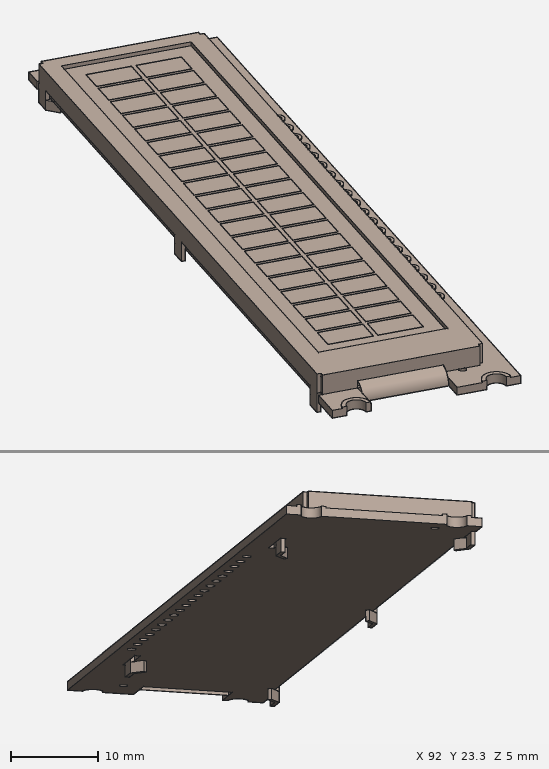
import cadquery as cq
import math

board_length = 92.0
board_width = 23.3
board_thickness = 1.0
board_bottom = 1.5
board_top = board_bottom + board_thickness
board_right = board_length / 2
board_front = -board_width / 2
board_back = board_width / 2

pad_height = 0.2
notch_radius = 1.2
notch_ring_radius = 1.75
notch_y = 8.65

pin_count = 20
pin_span = 48.3
pin_pitch = pin_span / (pin_count - 1)
pin_row_inset = 1.5
pin_row_y = board_back - pin_row_inset
pin_hole_radius = 0.51
pin_pad_radius = 0.87

locating_hole_radius = 0.5
locating_holes = [(-43.8, -6.6), (42.0, 6.1)]

sheet = 0.5
total_height = 5.0
bezel_left = -43.4
bezel_right = 41.9
bezel_front = board_front
bezel_width = 20.4
bezel_back = bezel_front + bezel_width
bezel_length = bezel_right - bezel_left
bezel_x = (bezel_left + bezel_right) / 2
bezel_y = (bezel_front + bezel_back) / 2
bezel_underside = total_height - sheet

window_length = 77.8
window_width = 16.0
window_x = -2.6

tab_width = 2.1
twist_reach = 1.3
tip_gap = 0.2
slot_length = 5.0
slot_end_clearance = 0.4
slot_side_clearance = 0.2
front_tabs = [(-40.85, 1), (-1.8, -1), (39.2, -1)]
back_tabs = [(-31.6, 1), (29.6, -1)]

cell_columns = 20
cell_rows = 2
cell_span = 70.1
cell_pitch_x = cell_span / (cell_columns - 1)
cell_pitch_y = 6.2
cell_length = 3.2
cell_width = 5.6
cell_height = 0.05

strip_front = -6.8
strip_back = 3.8
strip_width = strip_back - strip_front
strip_thickness = 0.1
strip_top = 3.4
strip_end = 43.5
strip_radius = strip_top - board_bottom


def box(x0, x1, y0, y1, z0, z1):
    """Box between two corners."""
    return cq.Workplane("XY").box(x1 - x0, y1 - y0, z1 - z0, centered=False).translate((x0, y0, z0))


def discs(points, radius, z0, z1):
    """Upright cylinders at the given places."""
    return cq.Workplane("XY").workplane(offset=z0).pushPoints(points).circle(radius).extrude(z1 - z0)


def make_tab(bend_x, direction, outer_y, inward):
    """Tab stem through the board plus its twisted tip; inward is +1 or -1 along Y."""
    x0, x1 = sorted((bend_x, bend_x - direction * tab_width))
    y0, y1 = sorted((outer_y, outer_y + inward * sheet))
    stem = box(x0, x1, y0, y1, 0, board_top)
    side = sheet / math.sqrt(2)
    tip_outline = [
        (0, 0),
        (twist_reach, twist_reach),
        (twist_reach - side, twist_reach + side),
        (-side, side),
    ]
    tip_points = [(bend_x + direction * u, outer_y + inward * v) for u, v in tip_outline]
    tip = cq.Workplane("XY").polyline(tip_points).close().extrude(board_bottom - tip_gap)
    return stem.union(tip)


def make_bezel():
    shell = box(bezel_left, bezel_right, bezel_front, bezel_back, board_top, total_height)
    shell = shell.cut(box(bezel_left + sheet, bezel_right - sheet, bezel_front + sheet,
                          bezel_back - sheet, board_top, bezel_underside))
    corners = (
        cq.Workplane("XY").workplane(offset=board_top).center(bezel_x, bezel_y)
        .rect(bezel_length - sheet, bezel_width - sheet, forConstruction=True).vertices()
        .rect(sheet, sheet).extrude(total_height - board_top)
    )
    window = (
        cq.Workplane("XY").workplane(offset=bezel_underside).center(window_x, bezel_y)
        .rect(window_length, window_width).extrude(sheet)
    )
    strip_opening = box(bezel_right - sheet, bezel_right, strip_front, strip_back, board_top, strip_top)
    bezel = shell.cut(corners).cut(window).cut(strip_opening)
    for bend_x, direction in front_tabs:
        bezel = bezel.union(make_tab(bend_x, direction, bezel_front, 1))
    for bend_x, direction in back_tabs:
        bezel = bezel.union(make_tab(bend_x, direction, bezel_back, -1))
    return bezel


def make_board():
    board = box(-board_right, board_right, board_front, board_back, board_bottom, board_top)
    pins = [(i * pin_pitch - pin_span / 2, pin_row_y) for i in range(pin_count)]
    notches = [(sx * board_right, sy * notch_y) for sx in (-1, 1) for sy in (-1, 1)]
    rings = discs(notches, notch_ring_radius, board_top, board_top + pad_height)
    rings = rings.intersect(box(-board_right, board_right, board_front, board_back, 0, total_height))
    pads = discs(pins, pin_pad_radius, board_top, board_top + pad_height)
    board = board.union(rings).union(pads)
    board = board.cut(box(bezel_right, board_right, strip_front, strip_back, 0, total_height))
    board = board.cut(discs(notches, notch_radius, 0, total_height))
    board = board.cut(discs(pins, pin_hole_radius, 0, total_height))
    board = board.cut(discs(locating_holes, locating_hole_radius, 0, total_height))
    board = board.cut(box(bezel_left, bezel_right, board_front, board_front + sheet, 0, total_height))
    for bend_x, direction in back_tabs:
        slot_start = bend_x - direction * (tab_width + slot_end_clearance)
        x0, x1 = sorted((slot_start, slot_start + direction * slot_length))
        board = board.cut(box(x0, x1, bezel_back - sheet, bezel_back + slot_side_clearance, 0, total_height))
    return board


def make_display():
    block = box(bezel_left + sheet, bezel_right - sheet, bezel_front + sheet, bezel_back - sheet,
                board_top, bezel_underside)
    cells = (
        cq.Workplane("XY").workplane(offset=bezel_underside).center(window_x, bezel_y)
        .rarray(cell_pitch_x, cell_pitch_y, cell_columns, cell_rows)
        .rect(cell_length, cell_width).extrude(cell_height)
    )
    return block.union(cells)


def make_strip():
    """Short lead through the bezel wall, then a quarter turn down to the underside of the board."""
    inner_radius = strip_radius - strip_thickness
    bend_x = strip_end - strip_radius
    diagonal = math.sqrt(0.5)
    lead_start = bezel_right - sheet
    return (
        cq.Workplane("XZ", origin=(0, strip_back, 0))
        .moveTo(lead_start, strip_top)
        .lineTo(bend_x, strip_top)
        .threePointArc((bend_x + diagonal * strip_radius, board_bottom + diagonal * strip_radius),
                       (strip_end, board_bottom))
        .lineTo(strip_end - strip_thickness, board_bottom)
        .threePointArc((bend_x + diagonal * inner_radius, board_bottom + diagonal * inner_radius),
                       (bend_x, board_bottom + inner_radius))
        .lineTo(lead_start, strip_top - strip_thickness)
        .close().extrude(strip_width)
    )


bezel = make_bezel()
board = make_board()
display = make_display()
strip = make_strip()

result = cq.Compound.makeCompound([bezel.val(), board.val(), display.val(), strip.val()])